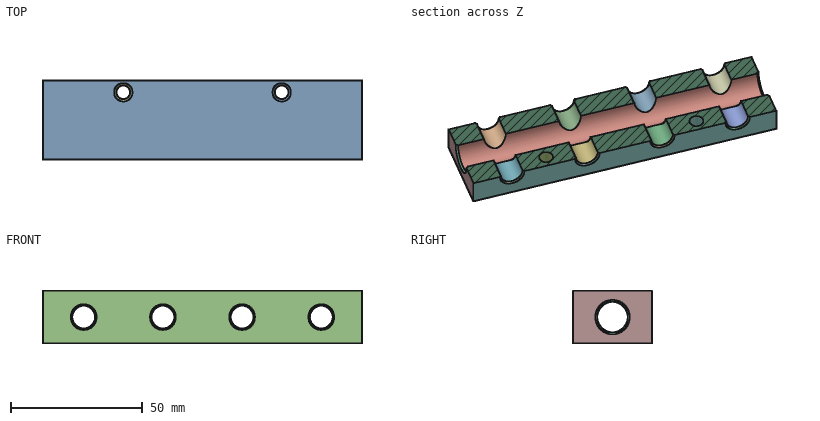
import cadquery as cq

length = 121.0
width = 30.0
height = 20.0
edge_radius = 0.3

bore_diameter = 11.5
bore_mouth_diameter = 13.1

port_count = 4
port_pitch = 30.0
port_diameter = 8.6
port_mouth_diameter = 9.8

mount_spacing = 2 * port_pitch
mount_edge_distance = 4.5
mount_diameter = 5.1
mount_mouth_diameter = 7.0


def through_hole(depth, diameter, mouth_diameter):
    """Cutter along Z, centred on the origin, with a 45 degree countersink at each end."""
    radius = diameter / 2
    mouth_radius = mouth_diameter / 2
    sink = mouth_radius - radius
    end = depth / 2
    return (
        cq.Workplane("XZ")
        .moveTo(0, -end)
        .lineTo(mouth_radius, -end)
        .lineTo(radius, -end + sink)
        .lineTo(radius, end - sink)
        .lineTo(mouth_radius, end)
        .lineTo(0, end)
        .close()
        .revolve(360, (0, 0), (0, 1))
    )


result = cq.Workplane("XY").box(length, width, height)
result = result.edges("|X").fillet(edge_radius)

bore = through_hole(length, bore_diameter, bore_mouth_diameter)
result = result.cut(bore.rotate((0, 0, 0), (0, 1, 0), 90))

port = through_hole(width, port_diameter, port_mouth_diameter)
port = port.rotate((0, 0, 0), (1, 0, 0), 90)
for index in range(port_count):
    port_x = (index - (port_count - 1) / 2) * port_pitch
    result = result.cut(port.translate((port_x, 0, 0)))

mount = through_hole(height, mount_diameter, mount_mouth_diameter)
mount_y = width / 2 - mount_edge_distance
for mount_x in (-mount_spacing / 2, mount_spacing / 2):
    result = result.cut(mount.translate((mount_x, mount_y, 0)))